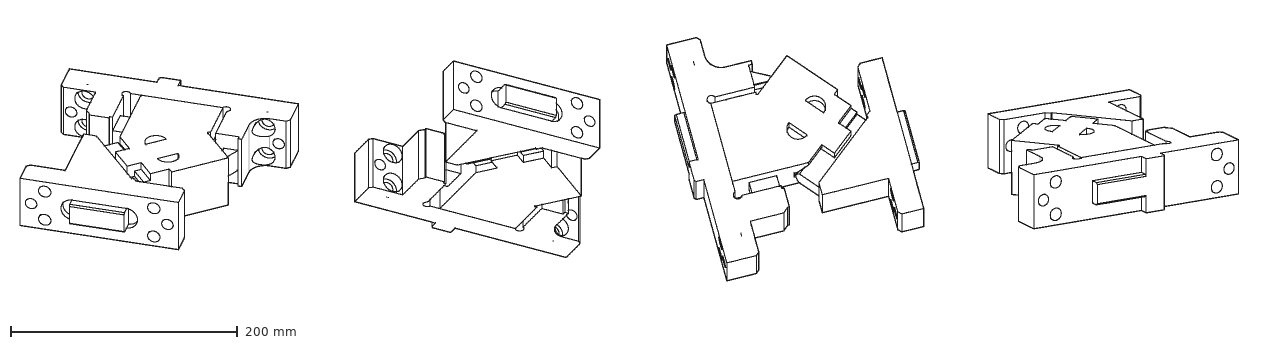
import cadquery as cq
import math

THICKNESS = 50.0

EDGE_CHAMFER = 3.0
BOLT_RADIUS = 5.7
BOLT_Z = 15.0
DOWEL_RADIUS = 5.2
LOCATOR_LENGTH = 50.2
LOCATOR_WIDTH = 20.5
LOCATOR_HEIGHT = 8.5
LOCATOR_CHAMFER = 1.5

HOLDER_LENGTH = 210.0
HOLDER_BACK_Y = 181.2
FLANGE_DEPTH = 30.0
SEAT_DEPTH = 24.0
CHANNEL_LEFT = 57.5
CHANNEL_RIGHT = 152.2
RELIEF_RADIUS = 3.8
RELIEF_OFFSET = 1.5
LEFT_LEG_OUTER = 32.3
LEFT_LEG_DEPTH = 66.8
LEFT_LEG_CHAMFER_X = 4.2
LEFT_LEG_CHAMFER_Y = 4.6
LEFT_LEG_LAND = 1.7
LEFT_LEG_NOTCH_X = 2.7
LEFT_LEG_NOTCH_Y = 2.0
RIGHT_LEG_OUTER = 177.0
RIGHT_LEG_DEPTH = 68.7
RIGHT_LEG_FILLET = 15.0
LIP_WIDTH = 3.5
LIP_HEIGHT = 3.4
HOLDER_BOLT_INSET = 22.5
HOLDER_DOWEL_INSET = 9.9
COUNTERBORE_RADIUS = 9.2
COUNTERBORE_DEPTH = 11.0
PAD_LEFT = 80.2
PAD_LENGTH = 19.5
HOOK_LEFT = 155.2
HOOK_STEP = 159.4
HOOK_RIGHT = 172.8
HOOK_TIP_X = 161.7
HOOK_THICKNESS = 21.0
HOOK_STRIP_THICKNESS = 16.8

DRIVER_LEFT = 5.0
DRIVER_LENGTH = 145.3
DRIVER_PLATE = 23.0
BLOCK_LEFT = 40.1
BLOCK_TOP = 83.5
RAMP_START_X = 51.9
RAMP_NORMAL_ANGLE = 40.0
SHOULDER_HEIGHT = 1.9
LOCATOR_SLOT_LENGTH = 70.1
LOCATOR_SLOT_DEPTH = 6.3
DRIVER_BOLT_SPACING = 100.0
DRIVER_DOWEL_SPACING = 125.0

RAIL_LENGTH = 75.0
RAIL_WIDTH = 24.8
RAIL_SIDE_HEIGHT = 21.0
RAIL_CREST_HEIGHT = 25.0

SLIDE_LEFT = 72.2
SLIDE_WIDTH = 75.2
SLIDE_STEP_X = 145.1
SLIDE_STEP_Y = 116.1
SLIDE_FACE_HEIGHT = 18.3
SLIDE_TOP_HEIGHT = 91.5
TONGUE_START = 30.2
TONGUE_LENGTH = 25.2
TONGUE_HEIGHT = 4.6
FOOT_OVERHANG = 5.2
FOOT_HEIGHT = 36.5
LEDGE_HEIGHT = 11.8
MOUTH_WIDTH = 35.7
MOUTH_HEIGHT = 21.2
OIL_GROOVE_WIDTH = 11.0
OIL_GROOVE_HEIGHT = 27.0
POCKET_RADIUS = 9.9
POCKET_HEIGHT = 44.0
POCKET_DEPTH = 12.5
LUG_BACK_Y = 142.0
LEFT_LUG_WIDTH = 25.2
RIGHT_LUG_WIDTH = 14.0
LUG_THICKNESS = 21.0

ANGLE = math.radians(RAMP_NORMAL_ANGLE)
ALONG = (math.sin(ANGLE), -math.cos(ANGLE))
UP = (math.cos(ANGLE), math.sin(ANGLE))
SLIDE_RIGHT = SLIDE_LEFT + SLIDE_WIDTH
SEAT_Y = HOLDER_BACK_Y - SEAT_DEPTH
TONGUE_END = TONGUE_START + TONGUE_LENGTH


def ramp_point(along, up):
    """X and Y of a point given along the ramp and square to it."""
    return (
        RAMP_START_X + along * ALONG[0] + up * UP[0],
        BLOCK_TOP + along * ALONG[1] + up * UP[1],
    )


def ramp_parallel_y(x, up):
    """Y, at the given X, of the line parallel to the ramp at height `up` above it."""
    return BLOCK_TOP + (up - (x - RAMP_START_X) * UP[0]) / UP[1]


def plate(outline, thickness):
    """Extrude a closed X-Y outline equally to both sides of Z = 0."""
    return cq.Workplane("XY").polyline(outline).close().extrude(thickness / 2, both=True)


def box(x_min, x_max, y_min, y_max, thickness):
    return plate([(x_min, y_min), (x_max, y_min), (x_max, y_max), (x_min, y_max)], thickness)


def holes_along_y(places, radius, y_start, y_end):
    """Round cutters along Y at the given (x, z) places."""
    plane = cq.Plane(origin=(0, y_start, 0), xDir=(1, 0, 0), normal=(0, -1, 0))
    return cq.Workplane(plane).pushPoints(places).circle(radius).extrude(y_start - y_end)


def ramp_section():
    """Workplane across the top of the ramp: local X is -Z, local Y points up from the ramp."""
    plane = cq.Plane(origin=(RAMP_START_X, BLOCK_TOP, 0), xDir=(0, 0, -1), normal=(*ALONG, 0))
    return cq.Workplane(plane)


def rail():
    """Straight-sided bar with a crowned crest."""
    half = RAIL_WIDTH / 2
    return (
        ramp_section()
        .moveTo(-half, 0)
        .lineTo(half, 0)
        .lineTo(half, RAIL_SIDE_HEIGHT)
        .threePointArc((0, RAIL_CREST_HEIGHT), (-half, RAIL_SIDE_HEIGHT))
        .close()
        .extrude(RAIL_LENGTH)
    )


def holder_outline():
    flange_y = HOLDER_BACK_Y - FLANGE_DEPTH
    left_end = HOLDER_BACK_Y - LEFT_LEG_DEPTH
    right_end = HOLDER_BACK_Y - RIGHT_LEG_DEPTH
    land_y = left_end + LEFT_LEG_LAND
    chamfer_x = LEFT_LEG_OUTER + LEFT_LEG_CHAMFER_X
    notch_x = CHANNEL_LEFT - LEFT_LEG_NOTCH_X
    notch_y = left_end + LEFT_LEG_NOTCH_Y
    lip_x = RIGHT_LEG_OUTER - LIP_WIDTH
    lip_y = right_end + LIP_HEIGHT
    fillet_mid = RIGHT_LEG_FILLET * (1 - math.sqrt(0.5))
    return (
        cq.Workplane("XY")
        .moveTo(0, HOLDER_BACK_Y)
        .lineTo(0, flange_y + EDGE_CHAMFER)
        .lineTo(EDGE_CHAMFER, flange_y)
        .lineTo(LEFT_LEG_OUTER, flange_y)
        .lineTo(LEFT_LEG_OUTER, land_y + LEFT_LEG_CHAMFER_Y)
        .lineTo(chamfer_x, land_y)
        .lineTo(chamfer_x, left_end)
        .lineTo(notch_x, left_end)
        .lineTo(notch_x, notch_y)
        .lineTo(CHANNEL_LEFT, notch_y)
        .lineTo(CHANNEL_LEFT, SEAT_Y)
        .lineTo(CHANNEL_RIGHT, SEAT_Y)
        .lineTo(CHANNEL_RIGHT, lip_y)
        .lineTo(lip_x, lip_y)
        .lineTo(lip_x, right_end)
        .lineTo(RIGHT_LEG_OUTER, right_end)
        .lineTo(RIGHT_LEG_OUTER, flange_y - RIGHT_LEG_FILLET)
        .threePointArc(
            (RIGHT_LEG_OUTER + fillet_mid, flange_y - fillet_mid),
            (RIGHT_LEG_OUTER + RIGHT_LEG_FILLET, flange_y),
        )
        .lineTo(HOLDER_LENGTH - EDGE_CHAMFER, flange_y)
        .lineTo(HOLDER_LENGTH, flange_y + EDGE_CHAMFER)
        .lineTo(HOLDER_LENGTH, HOLDER_BACK_Y)
        .close()
    )


def channel_reliefs():
    centres = [
        (CHANNEL_LEFT + RELIEF_OFFSET, SEAT_Y - RELIEF_OFFSET),
        (CHANNEL_RIGHT - RELIEF_OFFSET, SEAT_Y - RELIEF_OFFSET),
    ]
    return cq.Workplane("XY").pushPoints(centres).circle(RELIEF_RADIUS).extrude(THICKNESS / 2, both=True)


def back_pad():
    """Full-thickness pad with its outer left corner chamfered, and the locator beside it."""
    top = HOLDER_BACK_Y + LOCATOR_HEIGHT
    pad_right = PAD_LEFT + PAD_LENGTH
    pad = box(PAD_LEFT, pad_right, HOLDER_BACK_Y, top, THICKNESS)
    pad = pad.faces("<X").edges(">Y").chamfer(LOCATOR_CHAMFER)
    locator = box(pad_right, pad_right + LOCATOR_LENGTH, HOLDER_BACK_Y, top, LOCATOR_WIDTH)
    locator = locator.faces(">Y").edges("|X").chamfer(LOCATOR_CHAMFER)
    return pad.union(locator)


def holder_holes():
    flange_front = HOLDER_BACK_Y - FLANGE_DEPTH
    bolts = [
        (x, z)
        for x in (HOLDER_BOLT_INSET, HOLDER_LENGTH - HOLDER_BOLT_INSET)
        for z in (-BOLT_Z, BOLT_Z)
    ]
    dowels = [(HOLDER_DOWEL_INSET, 0), (HOLDER_LENGTH - HOLDER_DOWEL_INSET, 0)]
    floor_y = flange_front + COUNTERBORE_DEPTH
    leg_tip = HOLDER_BACK_Y - RIGHT_LEG_DEPTH
    cutters = holes_along_y(bolts, BOLT_RADIUS, HOLDER_BACK_Y, flange_front)
    cutters = cutters.union(holes_along_y(dowels, DOWEL_RADIUS, HOLDER_BACK_Y, flange_front))
    return cutters.union(holes_along_y(bolts, COUNTERBORE_RADIUS, floor_y, leg_tip))


def return_hook():
    """Wedge on the end of the right leg that bears on the slide's upper face."""
    top = HOLDER_BACK_Y - RIGHT_LEG_DEPTH + LIP_HEIGHT

    def bearing_y(x):
        return ramp_parallel_y(x, SLIDE_TOP_HEIGHT)

    wedge = plate(
        [
            (HOOK_STEP, top),
            (HOOK_STEP, bearing_y(HOOK_STEP)),
            (HOOK_TIP_X, bearing_y(HOOK_TIP_X)),
            (HOOK_RIGHT, top),
        ],
        HOOK_THICKNESS,
    )
    strip = plate(
        [
            (HOOK_LEFT, top),
            (HOOK_LEFT, bearing_y(HOOK_LEFT)),
            (HOOK_STEP, bearing_y(HOOK_STEP)),
            (HOOK_STEP, top),
        ],
        HOOK_STRIP_THICKNESS,
    )
    return wedge.union(strip)


def make_holder():
    body = holder_outline().extrude(THICKNESS / 2, both=True)
    body = body.cut(channel_reliefs()).union(back_pad()).cut(holder_holes())
    return body.union(return_hook())


def driver_profile():
    right = DRIVER_LEFT + DRIVER_LENGTH
    shoulder_foot = ramp_point(RAIL_LENGTH, 0)
    shoulder_top = ramp_point(RAIL_LENGTH, SHOULDER_HEIGHT)
    shoulder_run = (shoulder_top[1] - DRIVER_PLATE) * math.tan(ANGLE)
    return [
        (DRIVER_LEFT, 0),
        (right, 0),
        (right, DRIVER_PLATE - EDGE_CHAMFER),
        (right - EDGE_CHAMFER, DRIVER_PLATE),
        (shoulder_top[0] + shoulder_run, DRIVER_PLATE),
        shoulder_top,
        shoulder_foot,
        (RAMP_START_X, BLOCK_TOP),
        (BLOCK_LEFT, BLOCK_TOP),
        (BLOCK_LEFT, DRIVER_PLATE),
        (DRIVER_LEFT + EDGE_CHAMFER, DRIVER_PLATE),
        (DRIVER_LEFT, DRIVER_PLATE - EDGE_CHAMFER),
    ]


def driver_locator(center_x):
    half = LOCATOR_LENGTH / 2
    locator = box(center_x - half, center_x + half, -LOCATOR_HEIGHT, LOCATOR_SLOT_DEPTH, LOCATOR_WIDTH)
    return locator.faces("<Y").edges("|X").chamfer(LOCATOR_CHAMFER)


def locator_slot(center_x):
    plane = cq.Plane(origin=(center_x, 0, 0), xDir=(1, 0, 0), normal=(0, 1, 0))
    return cq.Workplane(plane).slot2D(LOCATOR_SLOT_LENGTH, LOCATOR_WIDTH).extrude(LOCATOR_SLOT_DEPTH)


def driver_holes(center_x):
    bolts = [
        (center_x + side * DRIVER_BOLT_SPACING / 2, z)
        for side in (-1, 1)
        for z in (-BOLT_Z, BOLT_Z)
    ]
    dowels = [(center_x + side * DRIVER_DOWEL_SPACING / 2, 0) for side in (-1, 1)]
    cutters = holes_along_y(bolts, BOLT_RADIUS, DRIVER_PLATE, 0)
    return cutters.union(holes_along_y(dowels, DOWEL_RADIUS, DRIVER_PLATE, 0))


def make_driver():
    center_x = DRIVER_LEFT + DRIVER_LENGTH / 2
    body = plate(driver_profile(), THICKNESS)
    body = body.cut(locator_slot(center_x)).cut(driver_holes(center_x))
    return body.union(driver_locator(center_x)).union(rail())


def slide_profile():
    foot_end = RAIL_LENGTH + FOOT_OVERHANG
    return [
        (SLIDE_LEFT, SEAT_Y),
        (SLIDE_RIGHT, SEAT_Y),
        (SLIDE_RIGHT, SLIDE_STEP_Y),
        (SLIDE_STEP_X, SLIDE_STEP_Y),
        (SLIDE_STEP_X, ramp_parallel_y(SLIDE_STEP_X, SLIDE_TOP_HEIGHT)),
        ramp_point(foot_end, SLIDE_TOP_HEIGHT),
        ramp_point(foot_end, FOOT_HEIGHT),
        ramp_point(RAIL_LENGTH, FOOT_HEIGHT),
        ramp_point(RAIL_LENGTH, SLIDE_FACE_HEIGHT),
        ramp_point(TONGUE_END, SLIDE_FACE_HEIGHT),
        ramp_point(TONGUE_END, TONGUE_HEIGHT),
        ramp_point(TONGUE_START, TONGUE_HEIGHT),
        ramp_point(TONGUE_START, SLIDE_FACE_HEIGHT),
        (SLIDE_LEFT, ramp_parallel_y(SLIDE_LEFT, SLIDE_FACE_HEIGHT)),
    ]


def ledge():
    """Narrower lower face beyond the tongue."""
    return plate(
        [
            ramp_point(TONGUE_END, LEDGE_HEIGHT),
            ramp_point(RAIL_LENGTH, LEDGE_HEIGHT),
            ramp_point(RAIL_LENGTH, SLIDE_FACE_HEIGHT),
            ramp_point(TONGUE_END, SLIDE_FACE_HEIGHT),
        ],
        MOUTH_WIDTH,
    )


def groove_mouth():
    """Flared mouth of the rail groove, ahead of the tongue."""
    outer = MOUTH_WIDTH / 2
    inner = RAIL_WIDTH / 2
    return (
        ramp_section()
        .polyline(
            [
                (-outer, SLIDE_FACE_HEIGHT),
                (outer, SLIDE_FACE_HEIGHT),
                (inner, MOUTH_HEIGHT),
                (-inner, MOUTH_HEIGHT),
            ]
        )
        .close()
        .extrude(TONGUE_START)
    )


def oil_groove():
    return (
        ramp_section()
        .rect(OIL_GROOVE_WIDTH, 2 * OIL_GROOVE_HEIGHT)
        .extrude(RAIL_LENGTH)
    )


def half_round_pocket(along, side):
    """Half-round pocket in the +Z face, bulging to the given side along the ramp."""
    start = ramp_point(along, POCKET_HEIGHT - POCKET_RADIUS)
    crown = ramp_point(along + side * POCKET_RADIUS, POCKET_HEIGHT)
    end = ramp_point(along, POCKET_HEIGHT + POCKET_RADIUS)
    return (
        cq.Workplane("XY", origin=(0, 0, THICKNESS / 2))
        .moveTo(*start)
        .threePointArc(crown, end)
        .close()
        .extrude(-POCKET_DEPTH)
    )


def side_lugs():
    left = box(CHANNEL_LEFT, SLIDE_LEFT, LUG_BACK_Y - LEFT_LUG_WIDTH, LUG_BACK_Y, LUG_THICKNESS)
    right = box(SLIDE_RIGHT, CHANNEL_RIGHT, LUG_BACK_Y - RIGHT_LUG_WIDTH, LUG_BACK_Y, LUG_THICKNESS)
    return left.union(right)


def make_slide():
    body = plate(slide_profile(), THICKNESS).union(ledge()).union(side_lugs())
    body = body.cut(groove_mouth()).cut(oil_groove()).cut(rail())
    for along, side in ((TONGUE_START, -1), (TONGUE_END, 1)):
        body = body.cut(half_round_pocket(along, side))
    return body


holder = make_holder().solids()
driver = make_driver().solids()
slide = make_slide().solids()

result = cq.Compound.makeCompound([holder.val(), driver.val(), slide.val()])